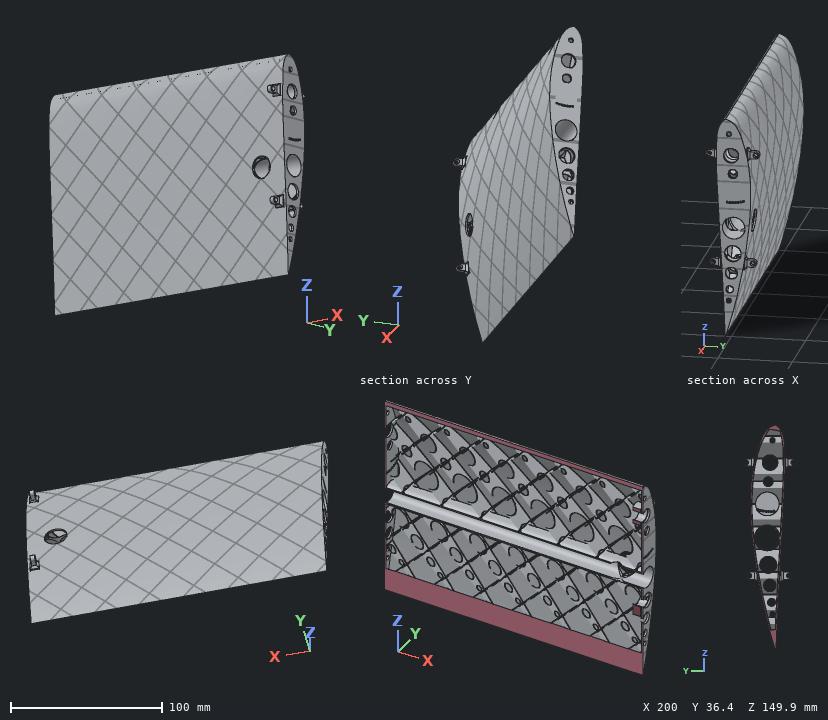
import cadquery as cq
import math

SPAN = 200.0
HEIGHT = 150.0
NOSE_OVERHANG = 0.05
TAIL_OVERHANG = 0.032
CHORD = HEIGHT - NOSE_OVERHANG - TAIL_OVERHANG
CHORD_LINE_Y = -4.0
CAMBER = 0.04
CAMBER_PLACE = 0.4
THICKNESS = 0.15
STATIONS = 10

TUBE_Y = -0.2
TUBE_Z = 124.8
TUBE_DIAMETER = 10.0
MAIN_TUBE_Y = 1.5
MAIN_TUBE_Z = HEIGHT / 2
MAIN_TUBE_BORE = 15.0
SPAN_HOLES = [
    (-1.8, 139.5, 3.2),
    (TUBE_Y, TUBE_Z, TUBE_DIAMETER),
    (1.0, 112.2, 6.2),
    (MAIN_TUBE_Y, MAIN_TUBE_Z, MAIN_TUBE_BORE),
    (1.0, 57.2, 11.0),
    (0.0, 43.5, 8.0),
    (-1.2, 32.5, 5.0),
    (-1.8, 24.5, 3.2),
]

FINE_HOLE_DIAMETER = 1.2
FINE_HOLE_COUNT = 7
FINE_HOLE_PITCH = 1.8
FINE_ROW_Y = 2.5
FINE_ARC_Y = 0.2
FINE_ARC_Z = 92.5
FINE_ARC_RADIUS = 26.0

CROSS_HOLE_DIAMETER = 15.0
CROSS_HOLE_X = 180.0
CROSS_HOLE_Z = HEIGHT / 2

SKIN = 1.2
END_PLATE = 1.5
WEB = 0.5
WEB_PITCH = 30.0
WEB_START_X = -0.5
WEB_START_Z = WEB_PITCH / 4
MAIN_TUBE_WALL = 1.0
PASSAGE_DIAMETER = 15.5
PASSAGE_Y = 1.5
PASSAGE_Z = WEB_START_Z + 3 * WEB_PITCH

HORN_X = 195.0
POST_WIDTH = 6.2
POST_HEIGHT = 8.0
LUG_WIDTH = 3.2
EYE_DIAMETER = 5.0
EYE_HOLE_DIAMETER = 3.0
BEVEL_HEIGHT = 1.5
EYE_REACH = 5.2
HUB_DIAMETER = 15.0
HORNS = [
    (TUBE_Z, -10.5, 10.5, True),
    (50.0, -7.5, 8.5, False),
]


def rod_along_x(y, z, diameter, start=0.0, length=SPAN):
    return cq.Workplane("YZ", origin=(start, y, z)).circle(diameter / 2).extrude(length)


def half_thickness(place):
    """NACA half thickness at a place along the chord, both as fractions of the chord."""
    return 5 * THICKNESS * (
        0.2969 * math.sqrt(place) - 0.126 * place - 0.3516 * place**2 + 0.2843 * place**3 - 0.1015 * place**4
    )


def skin_point(place, side, inset):
    """(y, z) at a depth under the +Y skin (side 1) or the -Y skin (side -1)."""
    run = CAMBER_PLACE if place < CAMBER_PLACE else 1 - CAMBER_PLACE
    camber = CAMBER * (1 - ((place - CAMBER_PLACE) / run) ** 2)
    lean = math.atan(2 * CAMBER * (CAMBER_PLACE - place) / run**2)
    offset = side * (half_thickness(place) - inset / CHORD)
    along = place - offset * math.sin(lean)
    across = camber + offset * math.cos(lean)
    return CHORD_LINE_Y + CHORD * across, TAIL_OVERHANG + CHORD * (1 - along)


def airfoil_bar(end_gap=0.0, inset=0.0):
    """Airfoil bar, shorter by a gap at each end and smaller by an inset all round."""
    places = [(1 - math.cos(math.pi * step / STATIONS)) / 2 for step in range(STATIONS + 1)]
    depth = inset / CHORD
    places = [place for place in places if place >= depth and half_thickness(place) >= depth]
    plus_skin = [skin_point(place, 1, inset) for place in places]
    minus_skin = [skin_point(place, -1, inset) for place in places]
    bar = cq.Workplane("YZ", origin=(end_gap, 0, 0)).spline(plus_skin)
    if inset > 0:
        bar = bar.moveTo(*plus_skin[0]).lineTo(*minus_skin[0])
    bar = bar.moveTo(*minus_skin[0]).spline(minus_skin).moveTo(*plus_skin[-1]).lineTo(*minus_skin[-1])
    return bar.consolidateWires().extrude(SPAN - 2 * end_gap).val()


def web_network():
    """Crossed diagonal sheets, a little larger than the wing."""
    sheet_length = 2 * (SPAN + HEIGHT)
    sheet = cq.Workplane("XY").box(sheet_length, HEIGHT, WEB)
    bounds = cq.Workplane("XY").box(SPAN + WEB_PITCH, HEIGHT, HEIGHT + WEB_PITCH)
    bounds = bounds.translate((SPAN / 2, 0, HEIGHT / 2)).val()
    reach = math.ceil(SPAN / WEB_PITCH)
    sheets = []
    for angle, lowest, highest in ((45, 0, 2 * reach), (-45, -reach, reach)):
        turned = sheet.rotate((0, 0, 0), (0, 1, 0), angle)
        for step in range(lowest, highest):
            z = WEB_START_Z + step * WEB_PITCH
            sheets.append(turned.translate((WEB_START_X, 0, z)).val().intersect(bounds))
    passage = rod_along_x(PASSAGE_Y, PASSAGE_Z, PASSAGE_DIAMETER, -SPAN, 3 * SPAN)
    return sheets[0].fuse(*sheets[1:]).cut(passage.val())


def span_holes():
    holes = [rod_along_x(*hole).val() for hole in SPAN_HOLES]
    for number in range(FINE_HOLE_COUNT):
        y = FINE_ROW_Y + (number - (FINE_HOLE_COUNT - 1) / 2) * FINE_HOLE_PITCH
        drop = math.sqrt(FINE_ARC_RADIUS**2 - (y - FINE_ARC_Y) ** 2)
        z = FINE_ARC_Z + FINE_ARC_RADIUS - drop
        holes.append(rod_along_x(y, z, FINE_HOLE_DIAMETER).val())
    return holes


def lug(z, post_end, side):
    """Bevelled foot and eye that stand on one end of a post, outward along Y."""
    foot_plane = cq.Plane(origin=(HORN_X, post_end, z), xDir=(1, 0, 0), normal=(0, side, 0))
    foot = (
        cq.Workplane(foot_plane)
        .rect(POST_WIDTH, POST_HEIGHT)
        .workplane(offset=BEVEL_HEIGHT)
        .rect(LUG_WIDTH, EYE_DIAMETER)
        .loft(combine=True)
    )
    lug_start = HORN_X - LUG_WIDTH / 2
    eye_y = post_end + side * EYE_REACH
    arm = cq.Workplane("XY").box(LUG_WIDTH, EYE_REACH, EYE_DIAMETER)
    arm = arm.translate((HORN_X, (post_end + eye_y) / 2, z))
    eye = rod_along_x(eye_y, z, EYE_DIAMETER, lug_start, LUG_WIDTH)
    eye_hole = rod_along_x(eye_y, z, EYE_HOLE_DIAMETER, lug_start, LUG_WIDTH)
    return foot.union(arm).union(eye).cut(eye_hole)


def horn_blank(z, minus_end, plus_end, has_hub):
    """Horn before the spanwise holes are bored through its post."""
    post = cq.Workplane("XY").box(POST_WIDTH, plus_end - minus_end, POST_HEIGHT)
    post = post.translate((HORN_X, (plus_end + minus_end) / 2, z))
    blank = post.union(lug(z, minus_end, -1)).union(lug(z, plus_end, 1))
    if has_hub:
        blank = blank.union(rod_along_x(TUBE_Y, TUBE_Z, HUB_DIAMETER, HORN_X - POST_WIDTH / 2, POST_WIDTH))
    return blank.val()


def wing_body(bores, blanks):
    cross_hole = (
        cq.Workplane("XZ", origin=(CROSS_HOLE_X, HEIGHT / 2, CROSS_HOLE_Z))
        .circle(CROSS_HOLE_DIAMETER / 2)
        .extrude(HEIGHT)
    )
    network = web_network()
    tube = rod_along_x(MAIN_TUBE_Y, MAIN_TUBE_Z, MAIN_TUBE_BORE + 2 * MAIN_TUBE_WALL)

    full = airfoil_bar()
    webs = full.intersect(network)
    seamed = full.fuse(*webs.Solids()).Solids()[0]

    cells = airfoil_bar(END_PLATE, SKIN).cut(tube.val()).cut(network)
    body = cq.occ_impl.shapes.solid(seamed.Faces(), inner=cells.Faces())
    return body.cut(*bores, cross_hole.val(), *blanks)


bores = span_holes()
blanks = [horn_blank(*horn) for horn in HORNS]
horns = [blank.cut(*bores) for blank in blanks]
wing = wing_body(bores, blanks)

result = cq.Compound.makeCompound([*wing.Solids(), *[body for horn in horns for body in horn.Solids()]])